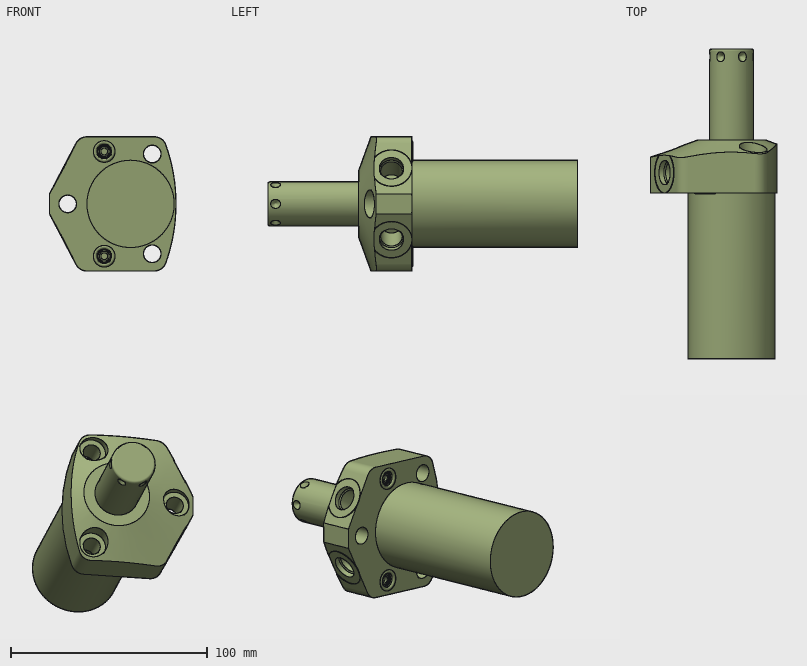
import cadquery as cq
import math


BODY_RADIUS = 22.2
BODY_LENGTH = 84.2
ROD_DIAMETER = 22.5
ROD_RADIUS = ROD_DIAMETER / 2
ROD_LENGTH = 46.1
ROD_EDGE_RADIUS = 1.1
ROD_DIMPLE_RADIUS = 2.5
ROD_DIMPLE_END_DISTANCE = 4.0
ROD_DIMPLE_DEPTH = 2.5
ROD_DIMPLE_COUNT = 6

FLANGE_THICKNESS = 27.0
FLANGE_LEFT = -41.2
FLANGE_RIGHT = 23.1
FLANGE_HALF_HEIGHT = 34.1
LEFT_EDGE_HALF_HEIGHT = 5.0
LEFT_CORNER_X = -26.0
RIGHT_CORNER_X = 16.4
CORNER_RADIUS = 6.5
CONE_TOP_RADIUS = 17.0
CONE_ANGLE = 20.0

MOUNT_HOLE_RADIUS = 4.4
COUNTERBORE_RADIUS = 7.1
COUNTERBORE_FLOOR_Y = 17.3
LEFT_HOLE_X = -32.0
RIGHT_HOLE_X = 11.0
RIGHT_HOLE_Z = 25.3

PORT_Y = 10.4
PORT_Z = 18.3
SPOTFACE_RADIUS = 10.4
SPOTFACE_DEPTH = 0.3
PORT_ENTRY_RADIUS = 6.1
PORT_ENTRY_DEPTH = 3.1
PORT_BORE_RADIUS = 5.5
PORT_DEPTH = 18.0

MANIFOLD_X = -13.4
MANIFOLD_Z = 26.6
SEAL_GROOVE_RADIUS = 5.5
SEAL_GROOVE_DEPTH = 1.3
SEAL_CORD_RADIUS = 1.0
SEAL_SQUEEZE = 0.05
SEAL_RING_RADIUS = SEAL_GROOVE_RADIUS - SEAL_CORD_RADIUS + SEAL_SQUEEZE
SEAL_CENTRE_DEPTH = 0.5
MANIFOLD_STEPS = ((3.1, 1.9), (2.5, 2.4), (1.7, 4.0))


def y_cylinder(radius, y_start, y_end, x=0, z=0):
    start = cq.Vector(x, y_start, z)
    return cq.Workplane(cq.Solid.makeCylinder(radius, y_end - y_start, start, cq.Vector(0, 1, 0)))


def revolve_about_y(radius_y_points):
    profile = cq.Workplane("XY").polyline(radius_y_points).close()
    return profile.revolve(360, (0, 0, 0), (0, 1, 0))


def make_flange():
    plate = (
        cq.Workplane("XZ")
        .moveTo(RIGHT_CORNER_X, FLANGE_HALF_HEIGHT)
        .lineTo(LEFT_CORNER_X, FLANGE_HALF_HEIGHT)
        .lineTo(FLANGE_LEFT, LEFT_EDGE_HALF_HEIGHT)
        .lineTo(FLANGE_LEFT, -LEFT_EDGE_HALF_HEIGHT)
        .lineTo(LEFT_CORNER_X, -FLANGE_HALF_HEIGHT)
        .lineTo(RIGHT_CORNER_X, -FLANGE_HALF_HEIGHT)
        .threePointArc((FLANGE_RIGHT, 0), (RIGHT_CORNER_X, FLANGE_HALF_HEIGHT))
        .close()
        .extrude(-FLANGE_THICKNESS)
    )
    plate = plate.edges("|Y and (>Z or <Z)").fillet(CORNER_RADIUS)

    cone_base_radius = CONE_TOP_RADIUS + FLANGE_THICKNESS / math.tan(math.radians(CONE_ANGLE))
    envelope = revolve_about_y([
        (0, 0),
        (cone_base_radius, 0),
        (CONE_TOP_RADIUS, FLANGE_THICKNESS),
        (0, FLANGE_THICKNESS),
    ])
    return plate.intersect(envelope)


def make_rod():
    rod_end = FLANGE_THICKNESS + ROD_LENGTH
    rod = y_cylinder(ROD_RADIUS, 0, rod_end).faces(">Y").edges().fillet(ROD_EDGE_RADIUS)
    dimple_y = rod_end - ROD_DIMPLE_END_DISTANCE
    for index in range(ROD_DIMPLE_COUNT):
        angle = 2 * math.pi * index / ROD_DIMPLE_COUNT
        outward = cq.Vector(math.cos(angle), 0, math.sin(angle))
        tip = cq.Vector(0, dimple_y, 0) + outward * (ROD_RADIUS - ROD_DIMPLE_DEPTH)
        dimple = cq.Solid.makeCone(0, 2 * ROD_DIMPLE_RADIUS, 2 * ROD_DIMPLE_DEPTH, tip, outward)
        rod = rod.cut(cq.Workplane(dimple))
    return rod


def mounting_hole(x, z):
    hole = y_cylinder(MOUNT_HOLE_RADIUS, 0, FLANGE_THICKNESS, x, z)
    return hole.union(y_cylinder(COUNTERBORE_RADIUS, COUNTERBORE_FLOOR_Y, FLANGE_THICKNESS, x, z))


def side_port(side):
    run = LEFT_CORNER_X - FLANGE_LEFT
    rise = FLANGE_HALF_HEIGHT - LEFT_EDGE_HALF_HEIGHT
    mouth_x = FLANGE_LEFT + run * (PORT_Z - LEFT_EDGE_HALF_HEIGHT) / rise
    mouth = cq.Plane(
        origin=(mouth_x, PORT_Y, side * PORT_Z),
        xDir=(0, 1, 0),
        normal=(-rise, 0, side * run),
    )
    taper_end = PORT_ENTRY_DEPTH + PORT_ENTRY_RADIUS - PORT_BORE_RADIUS
    profile = [
        (0, 0),
        (SPOTFACE_RADIUS, 0),
        (SPOTFACE_RADIUS, -SPOTFACE_DEPTH),
        (PORT_ENTRY_RADIUS, -SPOTFACE_DEPTH),
        (PORT_ENTRY_RADIUS, -PORT_ENTRY_DEPTH),
        (PORT_BORE_RADIUS, -taper_end),
        (PORT_BORE_RADIUS, -PORT_DEPTH),
        (0, -PORT_DEPTH),
    ]
    section = cq.Plane(origin=mouth.origin, xDir=(0, 1, 0), normal=mouth.yDir.multiply(-1))
    port = cq.Workplane(section).polyline(profile).close()
    return port.revolve(360, (0, 0, 0), (0, 1, 0))


def manifold_recess(z):
    recess = y_cylinder(SEAL_GROOVE_RADIUS, 0, SEAL_GROOVE_DEPTH, MANIFOLD_X, z)
    for radius, depth in MANIFOLD_STEPS:
        recess = recess.union(y_cylinder(radius, 0, depth, MANIFOLD_X, z))
    return recess


def seal_ring(z):
    ring = cq.Solid.makeTorus(
        SEAL_RING_RADIUS,
        SEAL_CORD_RADIUS,
        cq.Vector(MANIFOLD_X, SEAL_CENTRE_DEPTH, z),
        cq.Vector(0, 1, 0),
    )
    groove = y_cylinder(SEAL_GROOVE_RADIUS, -SEAL_CORD_RADIUS, SEAL_GROOVE_DEPTH, MANIFOLD_X, z)
    return cq.Workplane(ring).intersect(groove)


flange = make_flange()
for hole_x, hole_z in ((LEFT_HOLE_X, 0), (RIGHT_HOLE_X, RIGHT_HOLE_Z), (RIGHT_HOLE_X, -RIGHT_HOLE_Z)):
    flange = flange.cut(mounting_hole(hole_x, hole_z))
for side in (1, -1):
    flange = flange.cut(side_port(side))
    flange = flange.cut(manifold_recess(side * MANIFOLD_Z))
    flange = flange.union(seal_ring(side * MANIFOLD_Z))

body = y_cylinder(BODY_RADIUS, -BODY_LENGTH, 0)
result = flange.union(body).union(make_rod())